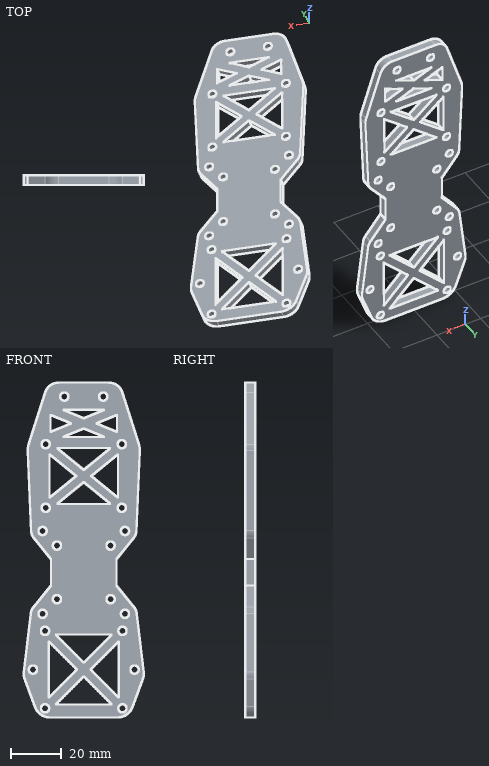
import cadquery as cq
import math

height = 132.1
thickness = 4.0

bottom_half_width = 17.7
lower_hip_half_width = 47.7 / 2
lower_hip_z = 16.6
neck_half_width = 13.0
neck_bottom_z = 52.0
neck_half_height = 10.5 / 2
waist_z = neck_bottom_z + neck_half_height
shoulder_half_width = 20.7
shoulder_offset = 14.8
upper_hip_half_width = 22.2
upper_hip_z = 106.5
top_half_width = 14.0

bottom_radius = 6.6
lower_hip_radius = 5.8
shoulder_radius = 5.0
upper_hip_radius = 7.0
top_radius = 5.7

hole_diameter = 3.2
lower_hole_offset = 30.5 / 2
lowest_hole_z = 3.7
lower_center_z = lowest_hole_z + lower_hole_offset
hip_hole_x = 40.0 / 2
neck_hole_offset = 10.6
shoulder_hole_x = 16.2
shoulder_hole_offset = 32.6 / 2
upper_hole_x = 30.0 / 2
upper_hole_offset = 12.5
upper_center_z = 95.3
top_hole_x = 7.7
top_hole_z = 126.5

hole_pairs = [
    (lower_hole_offset, lowest_hole_z),
    (lower_hole_offset, lower_center_z + lower_hole_offset),
    (hip_hole_x, lower_center_z),
    (shoulder_hole_x, waist_z - shoulder_hole_offset),
    (shoulder_hole_x, waist_z + shoulder_hole_offset),
    (neck_hole_offset, waist_z - neck_hole_offset),
    (neck_hole_offset, waist_z + neck_hole_offset),
    (upper_hole_x, upper_center_z - upper_hole_offset),
    (upper_hole_x, upper_center_z + upper_hole_offset),
    (top_hole_x, top_hole_z),
]

bar_width = 3.8
top_window_z = 116.0
windows = [
    (lower_center_z, 27.5, 27.5),
    (upper_center_z, 27.0, 21.9),
    (top_window_z, 26.2, 10.7),
]

corners = [
    (bottom_half_width, 0, bottom_radius),
    (lower_hip_half_width, lower_hip_z, lower_hip_radius),
    (shoulder_half_width, waist_z - shoulder_offset, shoulder_radius),
    (neck_half_width, waist_z - neck_half_height, None),
    (neck_half_width, waist_z + neck_half_height, None),
    (shoulder_half_width, waist_z + shoulder_offset, shoulder_radius),
    (upper_hip_half_width, upper_hip_z, upper_hip_radius),
    (top_half_width, height, top_radius),
]


def through(sketch):
    """Extrude a profile over the full plate thickness, centered on Y = 0."""
    return sketch.extrude(thickness / 2, both=True)


def make_plate():
    """Outline with its outward corners rounded."""
    right = [(x, z) for x, z, _ in corners]
    left = [(-x, z) for x, z in reversed(right)]
    plate = through(cq.Workplane("XZ").polyline(right + left).close())
    for x, z, radius in corners:
        if radius:
            for side in (-1, 1):
                corner = cq.selectors.NearestToPointSelector((side * x, 0, z))
                plate = plate.edges("|Y").edges(corner).fillet(radius)
    return plate


def make_holes():
    """Cylinders for all the mirrored hole pairs."""
    centers = [(side * x, z) for x, z in hole_pairs for side in (-1, 1)]
    return through(cq.Workplane("XZ").pushPoints(centers).circle(hole_diameter / 2))


def make_window(center_z, width, height):
    """Four triangles left over when two diagonal bars cross a rectangle."""
    half_width = width / 2
    half_height = height / 2
    diagonal = math.hypot(half_width, half_height)
    gap_x = bar_width / 2 * diagonal / half_height
    gap_z = bar_width / 2 * diagonal / half_width
    sketch = cq.Workplane("XZ").center(0, center_z)
    for side in (-1, 1):
        sketch = sketch.polyline([
            (side * gap_x, 0),
            (side * half_width, half_height - gap_z),
            (side * half_width, gap_z - half_height),
        ]).close()
        sketch = sketch.polyline([
            (0, side * gap_z),
            (half_width - gap_x, side * half_height),
            (gap_x - half_width, side * half_height),
        ]).close()
    return through(sketch)


result = make_plate().cut(make_holes())
for window in windows:
    result = result.cut(make_window(*window))